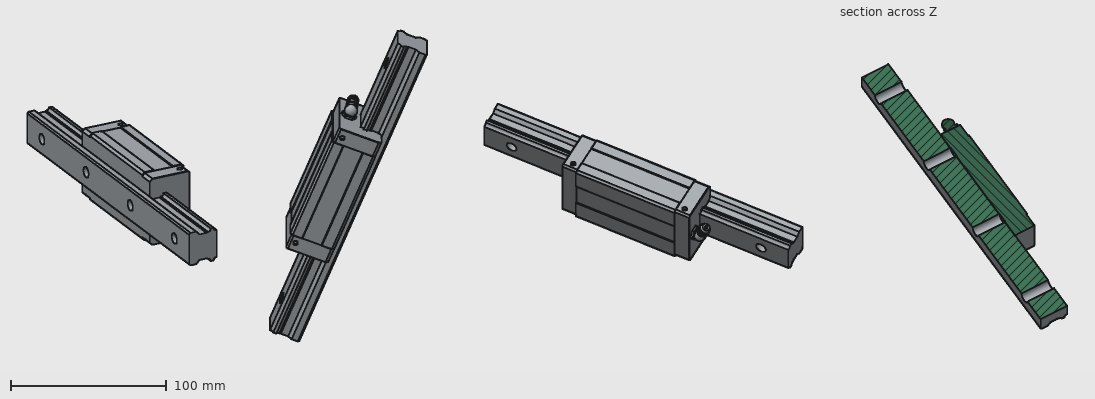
import cadquery as cq
import math


RAIL_LENGTH = 220.0
RAIL_HALF_WIDTH = 11.5
RAIL_HEIGHT = 20.2
BASE_CHAMFER = 1.0
FOOT_TOP = 5.3
NECK_HALF_WIDTH = 9.0
NECK_BOTTOM = FOOT_TOP + RAIL_HALF_WIDTH - NECK_HALF_WIDTH
RIDGE_BOTTOM = 15.8
RIDGE_TOP = 18.0
GROOVE_RADIUS = 2.0
HEAD_HALF_WIDTH = RAIL_HALF_WIDTH - GROOVE_RADIUS
NECK_LIP = 1.0
RAIL_HOLE_DIAMETER = 7.0
RAIL_HOLE_PITCH = 60.0
RAIL_HOLE_COUNT = 4

TOTAL_HEIGHT = 36.0
CARRIAGE_BOTTOM = 5.7
CARRIAGE_LENGTH = 92.0
BLOCK_LENGTH = 71.0
BLOCK_HALF_WIDTH = 24.0
BLOCK_TOP_CHAMFER = 1.5
BLOCK_BOTTOM_CHAMFER = 1.8
CAP_TOP = 35.0
CAP_HALF_WIDTH = 23.3
CAP_TOP_CHAMFER = 1.3
CAP_BOTTOM_CHAMFER = 2.0
CAP_END_CHAMFER = 0.33
RECESS_DEPTH = 0.5
SIDE_RECESS_BOTTOM = 14.3
SIDE_RECESS_TOP = 28.2
TOP_RECESS_HALF_WIDTH = 8.5
CAP_HOLE_DIAMETER = 3.0
CAP_HOLE_DEPTH = 2.2
CAP_HOLE_HEIGHT = 30.5
CAP_HOLE_FROM_END = 5.7

NIPPLE_HEIGHT = 28.5
HEX_ACROSS_CORNERS = 10.0
HEX_LENGTH = 1.5
STUB_RADIUS = 3.5
BALL_RADIUS = 4.2
NOZZLE_ANGLE = 66.0
WAIST_RADIUS = 2.9
COLLAR_RADIUS = 3.7
COLLAR_START = 4.8
COLLAR_END = 6.8
HEAD_RADIUS = 3.5
HEAD_START = 8.1
TAPER_START = 9.5
TIP_RADIUS = 2.5
TIP_END = 11.5
TIP_HOLE_RADIUS = 0.9
TIP_HOLE_DEPTH = 1.3


def extrude_along_x(profile, length):
    """Extrude a profile of the YZ plane, centred on X = 0."""
    return profile.extrude(length / 2, both=True)


def rail_profile():
    """Rail cross-section; the half at +Z is drawn and mirrored."""
    lower_groove_end = RIDGE_BOTTOM - GROOVE_RADIUS
    upper_groove_end = RIDGE_TOP + GROOVE_RADIUS
    slant = GROOVE_RADIUS * math.sqrt(0.5)
    lower_middle = (lower_groove_end + slant, RAIL_HALF_WIDTH - slant)
    upper_middle = (upper_groove_end - slant, RAIL_HALF_WIDTH - slant)
    return (
        cq.Workplane("YZ")
        .moveTo(0, 0)
        .lineTo(0, RAIL_HALF_WIDTH - BASE_CHAMFER)
        .lineTo(BASE_CHAMFER, RAIL_HALF_WIDTH)
        .lineTo(FOOT_TOP, RAIL_HALF_WIDTH)
        .lineTo(NECK_BOTTOM, NECK_HALF_WIDTH)
        .lineTo(lower_groove_end - NECK_LIP, NECK_HALF_WIDTH)
        .lineTo(lower_groove_end, HEAD_HALF_WIDTH)
        .threePointArc(lower_middle, (RIDGE_BOTTOM, RAIL_HALF_WIDTH))
        .lineTo(RIDGE_TOP, RAIL_HALF_WIDTH)
        .threePointArc(upper_middle, (upper_groove_end, HEAD_HALF_WIDTH))
        .lineTo(RAIL_HEIGHT, HEAD_HALF_WIDTH)
        .lineTo(RAIL_HEIGHT, 0)
        .mirrorX()
    )


def make_rail():
    holes = (
        cq.Workplane("XZ")
        .rarray(RAIL_HOLE_PITCH, 2.2, RAIL_HOLE_COUNT, 1)
        .circle(RAIL_HOLE_DIAMETER / 2)
        .extrude(-RAIL_HEIGHT)
    )
    return extrude_along_x(rail_profile(), RAIL_LENGTH).cut(holes)


def chamfered_bar(length, top, half_width, top_chamfer, bottom_chamfer):
    """Bar along X from the carriage bottom to `top`, with its four long edges chamfered."""
    profile = (
        cq.Workplane("YZ")
        .moveTo(CARRIAGE_BOTTOM, 0)
        .lineTo(CARRIAGE_BOTTOM, half_width - bottom_chamfer)
        .lineTo(CARRIAGE_BOTTOM + bottom_chamfer, half_width)
        .lineTo(top - top_chamfer, half_width)
        .lineTo(top, half_width - top_chamfer)
        .lineTo(top, 0)
        .mirrorX()
    )
    return extrude_along_x(profile, length)


def block_recesses():
    """Shallow full-length recesses with 45-degree walls, in the block's top and both sides."""
    side = (
        cq.Workplane("YZ")
        .moveTo(SIDE_RECESS_BOTTOM, BLOCK_HALF_WIDTH)
        .lineTo(SIDE_RECESS_BOTTOM + RECESS_DEPTH, BLOCK_HALF_WIDTH - RECESS_DEPTH)
        .lineTo(SIDE_RECESS_TOP - RECESS_DEPTH, BLOCK_HALF_WIDTH - RECESS_DEPTH)
        .lineTo(SIDE_RECESS_TOP, BLOCK_HALF_WIDTH)
        .close()
    )
    top = (
        cq.Workplane("YZ")
        .moveTo(TOTAL_HEIGHT, TOP_RECESS_HALF_WIDTH)
        .lineTo(TOTAL_HEIGHT - RECESS_DEPTH, TOP_RECESS_HALF_WIDTH - RECESS_DEPTH)
        .lineTo(TOTAL_HEIGHT - RECESS_DEPTH, RECESS_DEPTH - TOP_RECESS_HALF_WIDTH)
        .lineTo(TOTAL_HEIGHT, -TOP_RECESS_HALF_WIDTH)
        .close()
    )
    side_cut = extrude_along_x(side, BLOCK_LENGTH)
    return [side_cut, side_cut.mirror("XY"), extrude_along_x(top, BLOCK_LENGTH)]


def make_block():
    block = chamfered_bar(
        BLOCK_LENGTH, TOTAL_HEIGHT, BLOCK_HALF_WIDTH, BLOCK_TOP_CHAMFER, BLOCK_BOTTOM_CHAMFER
    )
    for recess in block_recesses():
        block = block.cut(recess)
    return block


def make_caps():
    """Bar through the block whose two ends are the end caps."""
    caps = chamfered_bar(
        CARRIAGE_LENGTH, CAP_TOP, CAP_HALF_WIDTH, CAP_TOP_CHAMFER, CAP_BOTTOM_CHAMFER
    )
    caps = caps.faces("<X or >X").edges("|Y or (|Z and >Y)").chamfer(CAP_END_CHAMFER)
    hole_x = CARRIAGE_LENGTH / 2 - CAP_HOLE_FROM_END
    for side in (-1, 1):
        holes = (
            cq.Workplane("XY", origin=(0, 0, side * CAP_HALF_WIDTH))
            .pushPoints([(-hole_x, CAP_HOLE_HEIGHT), (hole_x, CAP_HOLE_HEIGHT)])
            .circle(CAP_HOLE_DIAMETER / 2)
            .extrude(-side * CAP_HOLE_DEPTH)
        )
        caps = caps.cut(holes)
    return caps


def make_carriage():
    channel = extrude_along_x(rail_profile(), RAIL_LENGTH)
    return make_block().union(make_caps()).cut(channel)


def make_nozzle():
    """Ball and nozzle turned as one around +Z, with the ball centred on the origin."""
    ball_end = math.sqrt(BALL_RADIUS**2 - WAIST_RADIUS**2)
    return (
        cq.Workplane("XZ")
        .moveTo(0, -BALL_RADIUS)
        .threePointArc((BALL_RADIUS, 0), (WAIST_RADIUS, ball_end))
        .lineTo(WAIST_RADIUS, COLLAR_START)
        .lineTo(COLLAR_RADIUS, COLLAR_START)
        .lineTo(COLLAR_RADIUS, COLLAR_END)
        .lineTo(WAIST_RADIUS, COLLAR_END)
        .lineTo(WAIST_RADIUS, HEAD_START)
        .lineTo(HEAD_RADIUS, HEAD_START)
        .lineTo(HEAD_RADIUS, TAPER_START)
        .lineTo(TIP_RADIUS, TIP_END)
        .lineTo(TIP_HOLE_RADIUS, TIP_END)
        .lineTo(TIP_HOLE_RADIUS, TIP_END - TIP_HOLE_DEPTH)
        .lineTo(0, TIP_END - TIP_HOLE_DEPTH)
        .close()
        .revolve(360, (0, 0), (0, 1))
    )


def make_nipple():
    """Nipple seated on the -X cap face; the ball reaches back just to that face."""
    hexagon = cq.Workplane("YZ").polygon(6, HEX_ACROSS_CORNERS).extrude(-HEX_LENGTH)
    stub = cq.Workplane("YZ").circle(STUB_RADIUS).extrude(-BALL_RADIUS)
    nozzle = make_nozzle().rotate((0, 0, 0), (0, 1, 0), NOZZLE_ANGLE - 90)
    nozzle = nozzle.translate((-BALL_RADIUS, 0, 0))
    nipple = hexagon.union(stub).union(nozzle)
    return nipple.translate((-CARRIAGE_LENGTH / 2, NIPPLE_HEIGHT, 0))


rail = make_rail()
carriage = make_carriage()
nipple = make_nipple()

result = cq.Compound.makeCompound([body.solids().val() for body in (rail, carriage, nipple)])